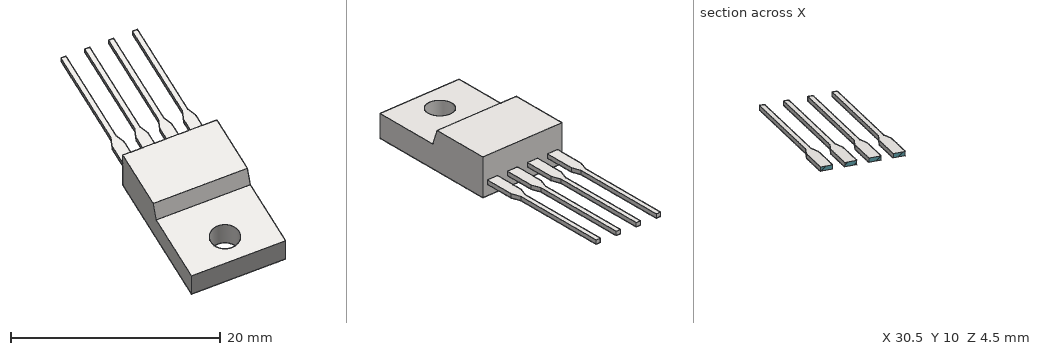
import cadquery as cq

total_length = 30.5
body_length = 15.05
body_width = 10.0
body_height = 4.5
body_start = total_length - body_length

tab_height = 2.75
step_top_x = 22.15
step_foot_x = 22.78
hole_diameter = 3.0
hole_end_distance = 3.0

lead_count = 4
lead_pitch = 2.53
lead_thickness = 0.5
lead_bottom = 1.28
tip_width = 0.55
root_width = 1.28
taper_start = 10.98
taper_end = 12.0


def make_body():
    """Stepped side profile extruded across the width, with the mounting hole."""
    profile = [
        (body_start, 0),
        (total_length, 0),
        (total_length, tab_height),
        (step_foot_x, tab_height),
        (step_top_x, body_height),
        (body_start, body_height),
    ]
    body = cq.Workplane("XZ").polyline(profile).close().extrude(body_width / 2, both=True)
    hole = (
        cq.Workplane("XY")
        .center(total_length - hole_end_distance, 0)
        .circle(hole_diameter / 2)
        .extrude(tab_height)
    )
    return body.cut(hole)


def make_lead(center_y):
    """One lead, ending flush against the body face."""
    half_outline = [
        (0, tip_width / 2),
        (taper_start, tip_width / 2),
        (taper_end, root_width / 2),
        (body_start, root_width / 2),
    ]
    mirrored_half = [(x, -y) for x, y in reversed(half_outline)]
    return (
        cq.Workplane("XY", origin=(0, center_y, lead_bottom))
        .polyline(half_outline + mirrored_half)
        .close()
        .extrude(lead_thickness)
    )


result = make_body()
for index in range(lead_count):
    lead_y = (index - (lead_count - 1) / 2) * lead_pitch
    result = result.union(make_lead(lead_y))